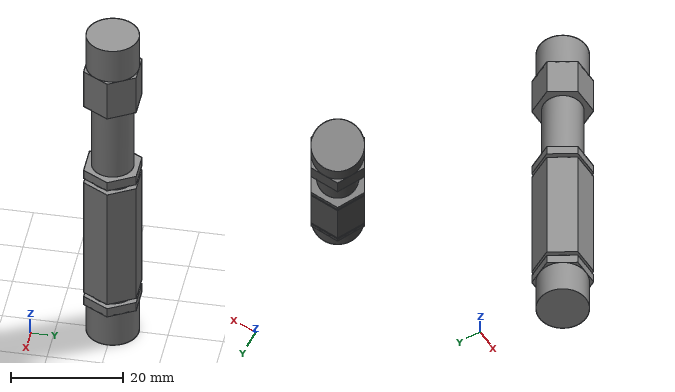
import cadquery as cq
import math

total_length = 66.7
across_flats = 9.55
across_corners = across_flats / math.cos(math.pi / 6)

end_diameter = across_flats
stem_diameter = 7.6
groove_diameter = 8.0

end_length = 6.95
collar_length = 1.9
groove_length = 0.95
body_length = 24.9
head_length = 7.9
stem_length = total_length - (
    2 * (end_length + collar_length + groove_length) + body_length + head_length
)


def round_section(base, length, diameter):
    """Cylinder standing on the height `base`."""
    return cq.Workplane("XY").workplane(offset=base).circle(diameter / 2).extrude(length)


def hex_section(base, length):
    """Hexagonal prism standing on the height `base`, with two corners on the X axis."""
    return cq.Workplane("XY").workplane(offset=base).polygon(6, across_corners).extrude(length)


sections = [
    (end_length, end_diameter),
    (collar_length, None),
    (groove_length, groove_diameter),
    (body_length, None),
    (groove_length, groove_diameter),
    (collar_length, None),
    (stem_length, stem_diameter),
    (head_length, None),
    (end_length, end_diameter),
]

result = cq.Workplane("XY")
base = 0.0
for length, diameter in sections:
    if diameter is None:
        section = hex_section(base, length)
    else:
        section = round_section(base, length, diameter)
    result = result.add(section)
    base += length
result = result.combine()